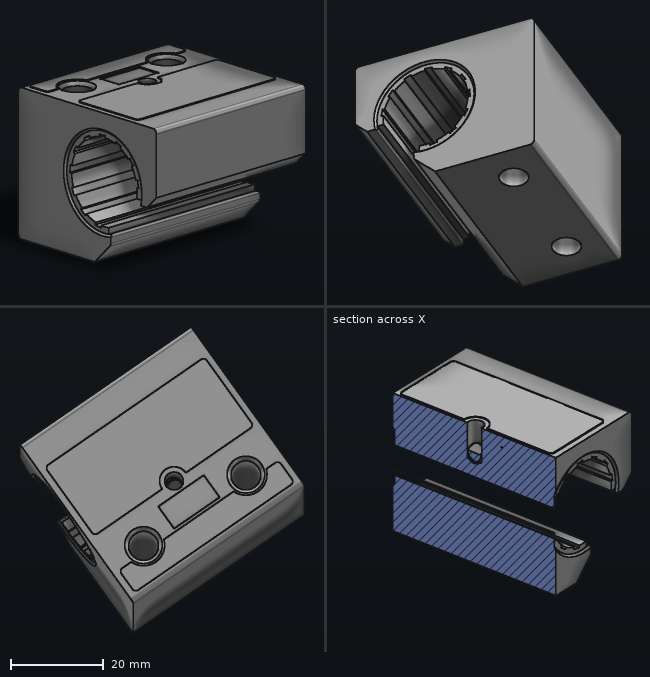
import cadquery as cq
import math

LENGTH_X = 42.5
LENGTH_Y = 45.0
HEIGHT = 34.5
PAD_THICKNESS = 0.22
BLOCK_TOP = HEIGHT - PAD_THICKNESS
EDGE_RADIUS = 1.0
FRONT_Y = -LENGTH_Y / 2

BORE_X = 25.95
BORE_Z = 18.5
BORE_RADIUS = 11.5
BORE_CHAMFER = 0.5
JAW_OFFSET = 2.5
JAW_FACE_X = BORE_X + JAW_OFFSET
JAW_FACE_Z = BORE_Z - JAW_OFFSET
UPPER_JAW_CUT = 2.9
LOWER_JAW_CUT = 5.0
LOWER_JAW_EDGE_RADIUS = 1.0
JAW_TIP_RADIUS = 0.35

LINER_RADIUS = 10.05
LINER_PITCH = 360 / 13
LINER_GROOVE_COUNT = 10
LINER_GROOVE_WIDTH = 1.7
LINER_GROOVE_RADIUS = 10.55
LINER_END_OFFSET = 1.45
LINER_CENTER_ANGLE = 135.0
LINER_LENGTH = LENGTH_Y - 2 * BORE_CHAMFER

PIN_TIP_REACH = 13.2
PIN_RADIUS = 2.0
PIN_CHAMFER = 0.22
PIN_HOLE_RADIUS = 2.0
PIN_HOLE_REACH = 7.2
PIN_HOLE_TIP = 1.12

SCREW_X = 9.0
SCREW_Y = 13.45
SCREW_RADIUS = 3.2
SCREW_SINK_RADIUS = 4.05
SCREW_CLEARANCE_RADIUS = 4.55
PIN_X = 16.75
PIN_CLEARANCE_RADIUS = 3.1
PAD_LENGTH_Y = 41.95
PAD_CORNER_RADIUS = 0.9
NARROW_PAD_X = (1.58, 7.45)
WIDE_PAD_X = (PIN_X, 35.2)
LABEL_X = (8.2, 14.15)
LABEL_LENGTH_Y = 11.95
LABEL_DEPTH = 0.25


def along_y(sketch, length):
    """Extrude an XZ sketch evenly to both sides of the mid plane."""
    return sketch.extrude(length / 2, both=True)


def bore_sketch():
    return cq.Workplane("XZ", origin=(BORE_X, 0, BORE_Z))


def cylinder_down(x, y, radius, top, depth):
    return cq.Workplane("XY", origin=(x, y, top)).circle(radius).extrude(-depth)


def make_block():
    outline = cq.Workplane("XZ").polyline([
        (0, 0),
        (JAW_FACE_X - LOWER_JAW_CUT, 0),
        (JAW_FACE_X, LOWER_JAW_CUT),
        (JAW_FACE_X, JAW_FACE_Z),
        (LENGTH_X - UPPER_JAW_CUT, JAW_FACE_Z),
        (LENGTH_X, JAW_FACE_Z + UPPER_JAW_CUT),
        (LENGTH_X, BLOCK_TOP),
        (0, BLOCK_TOP),
    ]).close()
    block = along_y(outline, LENGTH_Y)
    corners = ((0, 0), (0, BLOCK_TOP), (LENGTH_X, BLOCK_TOP))
    for x, z in corners:
        block = block.edges(cq.NearestToPointSelector((x, 0, z))).fillet(EDGE_RADIUS)
    jaw_edge = cq.NearestToPointSelector((JAW_FACE_X, 0, LOWER_JAW_CUT))
    return block.edges(jaw_edge).fillet(LOWER_JAW_EDGE_RADIUS)


def cut_bore(block):
    block = block.cut(along_y(bore_sketch().circle(BORE_RADIUS), LENGTH_Y))
    tip_reach = math.sqrt(BORE_RADIUS**2 - JAW_OFFSET**2)
    tips = ((JAW_FACE_X, BORE_Z - tip_reach), (BORE_X + tip_reach, JAW_FACE_Z))
    for x, z in tips:
        block = block.edges(cq.NearestToPointSelector((x, 0, z))).fillet(JAW_TIP_RADIUS)
    return block.cut(bore_mouth(FRONT_Y)).cut(bore_mouth(-FRONT_Y))


def bore_mouth(face_y):
    """Cone that chamfers the bore rim on one end face."""
    inward = cq.Vector(0, -math.copysign(1, face_y), 0)
    cone = cq.Solid.makeCone(
        BORE_RADIUS + BORE_CHAMFER, BORE_RADIUS, BORE_CHAMFER,
        cq.Vector(BORE_X, face_y, BORE_Z), inward)
    return cq.Workplane(cone)


def make_liner():
    first_angle = LINER_CENTER_ANGLE - LINER_PITCH * (LINER_GROOVE_COUNT - 1) / 2
    liner = along_y(bore_sketch().circle(BORE_RADIUS).circle(LINER_RADIUS), LINER_LENGTH)

    for index in range(LINER_GROOVE_COUNT):
        groove = bore_sketch().transformed(rotate=(0, 0, first_angle + index * LINER_PITCH))
        groove = groove.center(LINER_GROOVE_RADIUS / 2, 0).rect(LINER_GROOVE_RADIUS, LINER_GROOVE_WIDTH)
        liner = liner.cut(along_y(groove, LINER_LENGTH))

    gap_center = LINER_END_OFFSET + BORE_RADIUS / 2
    gap = bore_sketch().center(gap_center, -gap_center).rect(BORE_RADIUS, BORE_RADIUS)
    return liner.cut(along_y(gap, LINER_LENGTH))


def make_pin():
    """Round pin standing radially on the liner, chamfered at its tip."""
    angle = math.radians(LINER_CENTER_ANGLE)
    outward = cq.Vector(math.cos(angle), 0, math.sin(angle))
    base_reach = (LINER_GROOVE_RADIUS + BORE_RADIUS) / 2
    base = cq.Vector(BORE_X, 0, BORE_Z) + outward * base_reach
    pin = cq.Workplane(cq.Plane(base, xDir=(0, 1, 0), normal=outward))
    pin = pin.circle(PIN_RADIUS).extrude(PIN_TIP_REACH - base_reach)
    return pin.faces(cq.DirectionMinMaxSelector(outward)).chamfer(PIN_CHAMFER)


def make_pin_hole():
    rim_z = BORE_Z + PIN_HOLE_REACH
    hole = cylinder_down(PIN_X, 0, PIN_HOLE_RADIUS, BLOCK_TOP, BLOCK_TOP - rim_z)
    tip = cq.Solid.makeCone(
        PIN_HOLE_RADIUS, 0, PIN_HOLE_TIP, cq.Vector(PIN_X, 0, rim_z), cq.Vector(0, 0, -1))
    return hole.union(cq.Workplane(tip))


def make_plate(x_range, length_y, bottom, thickness):
    """Flat box spanning x_range, centered in Y."""
    width = x_range[1] - x_range[0]
    plate = cq.Workplane("XY", origin=(sum(x_range) / 2, 0, bottom))
    return plate.rect(width, length_y).extrude(thickness)


def make_pad(x_range):
    pad = make_plate(x_range, PAD_LENGTH_Y, BLOCK_TOP, PAD_THICKNESS)
    return pad.edges("|Z").fillet(PAD_CORNER_RADIUS)


def make_screw_hole(y):
    hole = cylinder_down(SCREW_X, y, SCREW_RADIUS, BLOCK_TOP, BLOCK_TOP)
    sink = cq.Solid.makeCone(
        SCREW_SINK_RADIUS, SCREW_RADIUS, SCREW_SINK_RADIUS - SCREW_RADIUS,
        cq.Vector(SCREW_X, y, BLOCK_TOP), cq.Vector(0, 0, -1))
    return hole.union(cq.Workplane(sink))


narrow_pad = make_pad(NARROW_PAD_X)
wide_pad = make_pad(WIDE_PAD_X).cut(
    cylinder_down(PIN_X, 0, PIN_CLEARANCE_RADIUS, HEIGHT, PAD_THICKNESS))
for screw_y in (-SCREW_Y, SCREW_Y):
    narrow_pad = narrow_pad.cut(
        cylinder_down(SCREW_X, screw_y, SCREW_CLEARANCE_RADIUS, HEIGHT, PAD_THICKNESS))

result = cut_bore(make_block())
result = result.cut(make_pin_hole())
result = result.union(make_liner()).union(make_pin()).union(narrow_pad).union(wide_pad)
for screw_y in (-SCREW_Y, SCREW_Y):
    result = result.cut(make_screw_hole(screw_y))
result = result.cut(make_plate(LABEL_X, LABEL_LENGTH_Y, BLOCK_TOP - LABEL_DEPTH, LABEL_DEPTH))